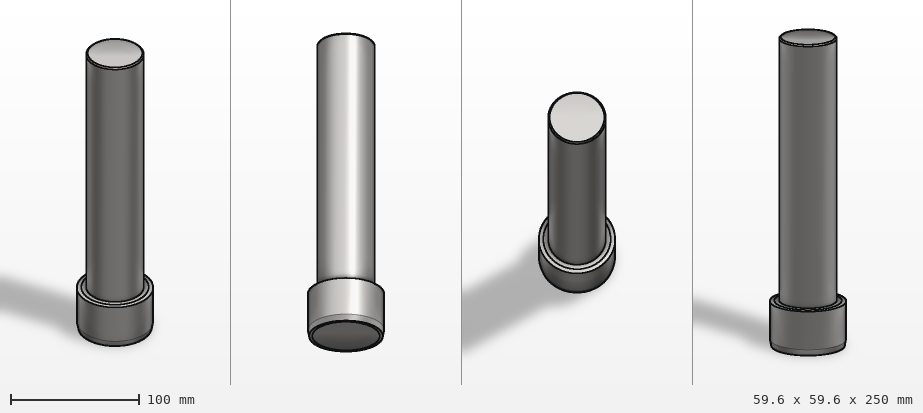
import cadquery as cq

PILLAR_LENGTH = 250.0
PILLAR_RADIUS = 22.5
PILLAR_CHAMFER = 1.2
FOOT_RADIUS = 26.2

COLLAR_RADIUS = 29.8
COLLAR_RIM_HEIGHT = 36.0
LEAD_IN_HEIGHT = 5.2
LEAD_IN_DEPTH = 1.0

CONE_RISE = 0.62
CONE_SLOPE = CONE_RISE / (COLLAR_RADIUS - PILLAR_RADIUS)


def cone_height(radius):
    """Height of the shared conical top at a given radius."""
    return COLLAR_RIM_HEIGHT + (COLLAR_RADIUS - radius) * CONE_SLOPE


def revolve_about_z(profile):
    """Solid of revolution from (radius, height) points."""
    return cq.Workplane("XZ").polyline(profile).close().revolve(360, (0, 0), (0, 1))


def make_pillar():
    """Round pillar with a chamfered top edge and a foot that fills the collar's bore."""
    return revolve_about_z([
        (0, 0),
        (FOOT_RADIUS, 0),
        (FOOT_RADIUS, cone_height(FOOT_RADIUS)),
        (PILLAR_RADIUS, cone_height(PILLAR_RADIUS)),
        (PILLAR_RADIUS, PILLAR_LENGTH - PILLAR_CHAMFER),
        (PILLAR_RADIUS - PILLAR_CHAMFER, PILLAR_LENGTH),
        (0, PILLAR_LENGTH),
    ])


def make_collar():
    """Ring around the foot, tapered inward at the bottom for lead-in."""
    return revolve_about_z([
        (FOOT_RADIUS, 0),
        (COLLAR_RADIUS - LEAD_IN_DEPTH, 0),
        (COLLAR_RADIUS, LEAD_IN_HEIGHT),
        (COLLAR_RADIUS, COLLAR_RIM_HEIGHT),
        (FOOT_RADIUS, cone_height(FOOT_RADIUS)),
    ])


pillar = make_pillar()
collar = make_collar()

result = cq.Compound.makeCompound([pillar.val(), collar.val()])